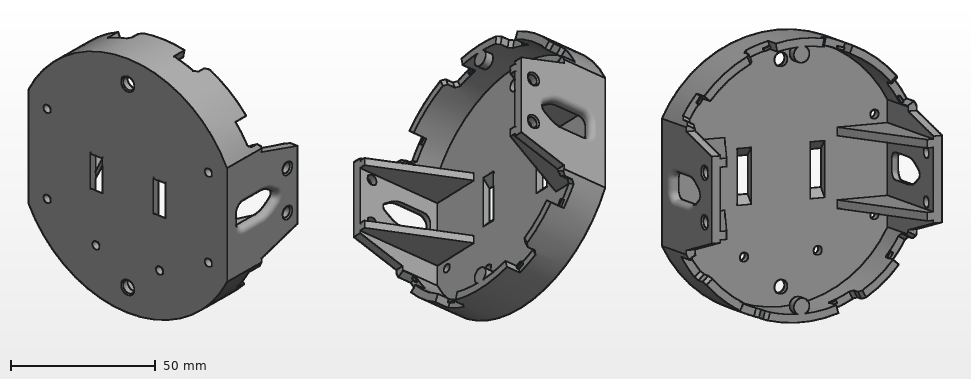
import cadquery as cq
import math

outer_radius = 50.0
inner_radius = 47.0
half_width = 44.7
side_thickness = 3.4
floor_thickness = 3.0
rim_height = 18.8

ear_top = 38.2
ear_base_half = 20.9
ear_top_half = 15.3
ear_hole_diameter = 4.0
ear_hole_chamfer = 0.6
ear_hole_height = 32.7
ear_hole_offset = 8.7

window_bottom = 6.3
window_half = 4.9
window_corner = 3.0
window_straight_end = rim_height
window_bend_radius = 9.9
window_bend_angle = math.radians(34)
window_nose_radius = 1.9
window_edge_radius = 2.2

gusset_outer_z = 14.3
gusset_thickness = 3.0
gusset_top_x = 38.9
gusset_rim_x = 29.5
gusset_slope = (gusset_top_x - gusset_rim_x) / (ear_top - rim_height)
gusset_foot_x = gusset_rim_x - gusset_slope * (rim_height - floor_thickness)

gap_angles = (35, 72.5, 107.5, 145, 215, 247.4, 292.6, 325)
gap_width_angle = 11.9
gap_floor = 13.0
gap_chamfer = 1.3
stop_width = 2.5
stop_depth = 1.0
stop_height = 0.9

pin_radius = 3.0
pin_tip = 41.4
pin_bottom = 15.5

slot_spacing = 28.4
slot_width = 5.5
slot_length = 13.6
slot_end_flare = 3.2
small_hole_diameter = 3.2
corner_hole_x = 36.3
corner_hole_z = 17.7
lower_hole_x = 14.3
lower_hole_z = -28.4
screw_hole_diameter = 5.0
screw_hole_chamfer = 0.5
screw_hole_z = 40.0


def plane_at(y):
    """Plane facing +Y whose local x and y are -X and Z."""
    return cq.Workplane(cq.Plane((0, y, 0), (-1, 0, 0), (0, 1, 0)))


def flat_sided_disc(radius, half, y_start, y_end):
    """Disc along Y, cut flat at X = half on both sides."""
    disc = plane_at(y_start).circle(radius).extrude(y_end - y_start)
    return disc.intersect(cq.Workplane("XY").box(2 * half, 2 * y_end, 2 * radius))


def gap_cutter(angle):
    """Radial gap, bevelled on one side, with a low stop block left at the foot of the other side."""
    clearance = 3.0
    half_tangent = math.tan(math.radians(gap_width_angle / 2))

    def section(radius):
        side = radius * half_tangent
        outline = [
            (-side + gap_chamfer, gap_floor),
            (side, gap_floor),
            (side, rim_height + clearance),
            (-side - gap_chamfer, rim_height + clearance),
            (-side - gap_chamfer, rim_height),
            (-side, rim_height - gap_chamfer),
            (-side, gap_floor + gap_chamfer),
        ]
        return cq.Wire.makePolygon([cq.Vector(radius, y, u) for u, y in outline], close=True)

    start = inner_radius - clearance
    end = outer_radius + clearance
    solid = cq.Solid.makeLoft([section(start), section(end)], True)
    stop = (
        cq.Workplane("XY")
        .box(stop_depth, stop_height, 2 * stop_width, centered=(False, False, True))
        .translate((inner_radius, gap_floor, inner_radius * half_tangent))
    )
    return cq.Workplane(solid).cut(stop).rotate((0, 0, 0), (0, 1, 0), -angle)


def ear():
    """Plate on the +X side with two gussets."""
    outline = [
        (0, -ear_base_half),
        (rim_height, -ear_base_half),
        (ear_top, -ear_top_half),
        (ear_top, ear_top_half),
        (rim_height, ear_base_half),
        (0, ear_base_half),
    ]
    plate = cq.Workplane("YZ", origin=(half_width - side_thickness, 0, 0))
    plate = plate.polyline(outline).close().extrude(side_thickness)

    brace_outline = [
        (half_width, floor_thickness),
        (gusset_foot_x, floor_thickness),
        (gusset_top_x, ear_top),
        (half_width, ear_top),
    ]
    for bottom in (-gusset_outer_z, gusset_outer_z - gusset_thickness):
        brace = cq.Workplane("XY", origin=(0, 0, bottom)).polyline(brace_outline).close()
        plate = plate.union(brace.extrude(gusset_thickness))
    return plate


def window_cutter():
    """Straight-sided window with rounded corners below and a tapering round nose above."""
    sine = math.sin(window_bend_angle)
    cosine = math.cos(window_bend_angle)
    middle_sine = math.sin(window_bend_angle / 2)
    middle_cosine = math.cos(window_bend_angle / 2)
    bend_y = window_straight_end + window_bend_radius * sine
    bend_z = window_half - window_bend_radius * (1 - cosine)
    middle_y = window_straight_end + window_bend_radius * middle_sine
    middle_z = window_half - window_bend_radius * (1 - middle_cosine)
    nose_z = window_nose_radius * cosine
    nose_y = bend_y + (bend_z - nose_z) / math.tan(window_bend_angle)
    nose_tip = nose_y + window_nose_radius * (1 - sine)
    corner_y = window_bottom + window_corner
    corner_z = window_half - window_corner

    return (
        cq.Workplane("YZ", origin=(half_width - side_thickness, 0, 0))
        .moveTo(corner_y, window_half)
        .lineTo(window_straight_end, window_half)
        .threePointArc((middle_y, middle_z), (bend_y, bend_z))
        .lineTo(nose_y, nose_z)
        .threePointArc((nose_tip, 0), (nose_y, -nose_z))
        .lineTo(bend_y, -bend_z)
        .threePointArc((middle_y, -middle_z), (window_straight_end, -window_half))
        .lineTo(corner_y, -window_half)
        .radiusArc((window_bottom, -corner_z), window_corner)
        .lineTo(window_bottom, corner_z)
        .radiusArc((corner_y, window_half), window_corner)
        .close()
        .extrude(side_thickness)
    )


def pierced_ear():
    """Ear with its two screw holes and its window, all softened at the outer face."""
    part = ear().cut(window_cutter())
    margin = 0.1
    window_box = cq.selectors.BoxSelector(
        (half_width - margin, window_bottom - margin, -window_half - margin),
        (half_width + margin, ear_hole_height - ear_hole_diameter / 2, window_half + margin),
    )
    part = part.edges(window_box).fillet(window_edge_radius)
    for z in (-ear_hole_offset, ear_hole_offset):
        drill = (
            cq.Workplane("YZ", origin=(half_width - side_thickness, ear_hole_height, z))
            .circle(ear_hole_diameter / 2)
            .extrude(side_thickness)
        )
        part = part.cut(drill)
        part = part.edges(cq.selectors.NearestToPointSelector((half_width, ear_hole_height, z)))
        part = part.chamfer(ear_hole_chamfer)
    return part


cup = flat_sided_disc(outer_radius, half_width, 0, rim_height)
cup = cup.cut(flat_sided_disc(inner_radius, half_width - side_thickness, floor_thickness, rim_height))
for gap_angle in gap_angles:
    cup = cup.cut(gap_cutter(gap_angle))
for side in (-1, 1):
    pin_centre = side * (pin_tip + pin_radius)
    pin = plane_at(pin_bottom).center(0, pin_centre).circle(pin_radius).extrude(rim_height - pin_bottom)
    cup = cup.union(pin)

slot_outline = [
    (0, -slot_length / 2),
    (0, slot_length / 2),
    (floor_thickness, slot_length / 2 + slot_end_flare),
    (floor_thickness, -slot_length / 2 - slot_end_flare),
]
for slot_x in (-slot_spacing / 2, slot_spacing / 2):
    slot = cq.Workplane("YZ", origin=(slot_x, 0, 0)).polyline(slot_outline).close()
    cup = cup.cut(slot.extrude(slot_width / 2, both=True))

corner_xs = (-corner_hole_x, corner_hole_x)
corner_zs = (-corner_hole_z, corner_hole_z)
small_hole_places = [(x, z) for x in corner_xs for z in corner_zs]
small_hole_places += [(x, lower_hole_z) for x in (-lower_hole_x, lower_hole_x)]
small_holes = plane_at(0).pushPoints(small_hole_places).circle(small_hole_diameter / 2)
cup = cup.cut(small_holes.extrude(floor_thickness))

for hole_z in (-screw_hole_z, screw_hole_z):
    screw_hole = plane_at(0).center(0, hole_z).circle(screw_hole_diameter / 2).extrude(floor_thickness)
    countersink = cq.Solid.makeCone(
        screw_hole_diameter / 2 + screw_hole_chamfer,
        screw_hole_diameter / 2,
        screw_hole_chamfer,
        pnt=cq.Vector(0, 0, hole_z),
        dir=cq.Vector(0, 1, 0),
    )
    cup = cup.cut(screw_hole).cut(cq.Workplane(countersink))

ear_seat_size = (side_thickness, rim_height, 2 * ear_base_half)
right_ear = pierced_ear()
for side in (-1, 1):
    seat_centre = (side * (half_width - side_thickness / 2), rim_height / 2, 0)
    cup = cup.cut(cq.Workplane("XY").box(*ear_seat_size).translate(seat_centre))
result = cup.union(right_ear).union(right_ear.mirror("YZ"))